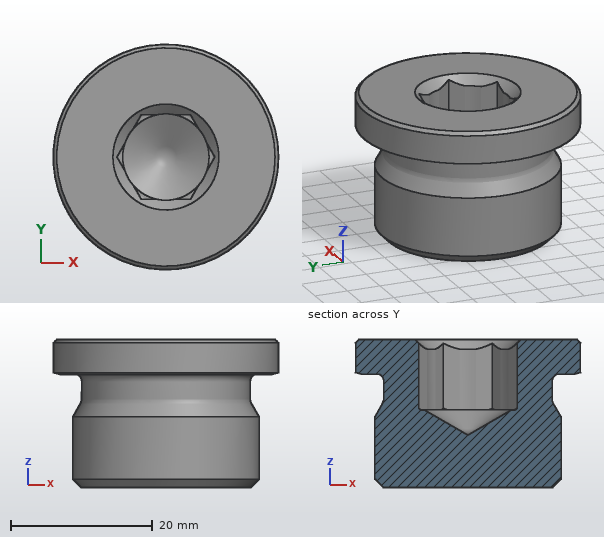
import cadquery as cq
import math

overall_height = 21.0
flange_diameter = 31.9
flange_thickness = 5.0
flange_top_chamfer = 0.5
flange_bottom_chamfer_height = 0.3
flange_bottom_chamfer_slope = math.radians(15)
neck_diameter = 23.9
neck_fillet_depth = 6.0
neck_fillet_radius = 1.18
shoulder_half_angle = math.radians(30)
plug_diameter = 26.4
plug_top_depth = 10.97
plug_chamfer = 1.2

socket_sides = 6
socket_flats = 12.0
socket_depth = 10.0
socket_floor_diameter = 14.0
socket_floor_fillet = 0.5
pilot_diameter = 12.22
drill_point_angle = math.radians(120)
countersink_diameter = 15.0
countersink_angle = math.radians(90)

flange_radius = flange_diameter / 2
neck_radius = neck_diameter / 2
plug_radius = plug_diameter / 2
edge_search_margin = 0.03


def make_body():
    """Revolve the flange, neck and plug as one profile."""
    shoulder_height = (plug_radius - neck_radius) / math.tan(shoulder_half_angle)
    shoulder_top_depth = plug_top_depth - shoulder_height

    arc_centre_radius = neck_radius + neck_fillet_radius
    arc_angle = math.asin((neck_fillet_depth - flange_thickness) / neck_fillet_radius)
    fillet_outer_radius = arc_centre_radius - neck_fillet_radius * math.cos(arc_angle)
    arc_middle = (
        arc_centre_radius - neck_fillet_radius * math.cos(arc_angle / 2),
        -neck_fillet_depth + neck_fillet_radius * math.sin(arc_angle / 2),
    )

    flange_bottom_chamfer_width = flange_bottom_chamfer_height / math.tan(flange_bottom_chamfer_slope)
    profile = (
        cq.Workplane("XZ")
        .moveTo(0, 0)
        .lineTo(flange_radius - flange_top_chamfer, 0)
        .lineTo(flange_radius, -flange_top_chamfer)
        .lineTo(flange_radius, -flange_thickness + flange_bottom_chamfer_height)
        .lineTo(flange_radius - flange_bottom_chamfer_width, -flange_thickness)
        .lineTo(fillet_outer_radius, -flange_thickness)
        .threePointArc(arc_middle, (neck_radius, -neck_fillet_depth))
        .lineTo(neck_radius, -shoulder_top_depth)
        .lineTo(plug_radius, -plug_top_depth)
        .lineTo(plug_radius, -overall_height + plug_chamfer)
        .lineTo(plug_radius - plug_chamfer, -overall_height)
        .lineTo(0, -overall_height)
        .close()
    )
    body = profile.revolve(360, (0, 0, 0), (0, 1, 0))

    reach = neck_radius + edge_search_margin
    shoulder_edge = cq.selectors.BoxSelector(
        (-reach, -reach, -shoulder_top_depth - edge_search_margin),
        (reach, reach, -shoulder_top_depth + edge_search_margin),
        boundingbox=True,
    )
    return body.edges(shoulder_edge).fillet(neck_fillet_radius)


def make_cone(diameter, point_angle, base_depth):
    """Downward-pointing cone whose base lies at the given depth."""
    radius = diameter / 2
    height = radius / math.tan(point_angle / 2)
    base_centre = cq.Vector(0, 0, -base_depth)
    downward = cq.Vector(0, 0, -1)
    return cq.Workplane(cq.Solid.makeCone(radius, 0, height, base_centre, downward))


def make_socket():
    """Hexagon with corners on X, over a drilled pilot hole and under a countersink."""
    socket_corners = socket_flats / math.cos(math.pi / socket_sides)
    hexagon = cq.Workplane("XY").polygon(socket_sides, socket_corners).extrude(-socket_depth)
    rounded_end = (
        cq.Workplane("XY")
        .circle(socket_floor_diameter / 2)
        .extrude(-socket_depth)
        .faces("<Z")
        .edges()
        .fillet(socket_floor_fillet)
    )
    hexagon = hexagon.intersect(rounded_end)
    pilot = cq.Workplane("XY").circle(pilot_diameter / 2).extrude(-socket_depth)
    drill_point = make_cone(pilot_diameter, drill_point_angle, socket_depth)
    countersink = make_cone(countersink_diameter, countersink_angle, 0)
    return hexagon.union(pilot).union(drill_point).union(countersink)


result = make_body().cut(make_socket())